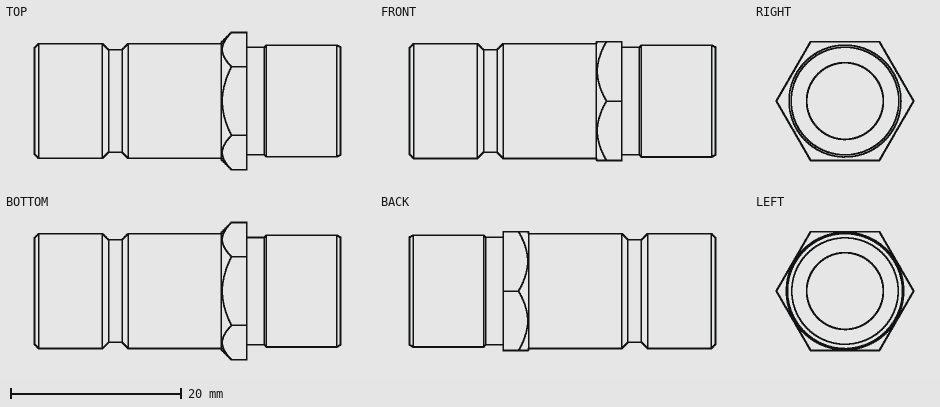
import cadquery as cq
import math

total_length = 36.0
groove_start = 8.0
groove_end = 11.0
hex_start = 22.0
hex_length = 3.0
relief_end = 27.3

plug_radius = 6.75
groove_radius = 6.05
relief_radius = 6.35
thread_radius = 6.6
bore_radius = 4.5
hex_sides = 6
hex_across_flats = 14.0
hex_face_radius = 6.9

plug_chamfer = 0.5
thread_chamfer_length = 0.45
thread_chamfer_depth = 0.25

groove_depth = plug_radius - groove_radius
relief_depth = thread_radius - relief_radius
hex_end = hex_start + hex_length
hex_corner_radius = hex_across_flats / 2 / math.cos(math.pi / hex_sides)
x_mid = total_length / 2


def revolve_about_x(points):
    """Revolve a closed (x, radius) outline about the X axis."""
    outline = cq.Workplane("XY").polyline(points).close()
    return outline.revolve(360, (0, 0, 0), (1, 0, 0))


def turned_body():
    """Plug with a sealing groove at one end, thread with a relief at the other."""
    return revolve_about_x([
        (0, 0),
        (0, plug_radius - plug_chamfer),
        (plug_chamfer, plug_radius),
        (groove_start, plug_radius),
        (groove_start + groove_depth, groove_radius),
        (groove_end - groove_depth, groove_radius),
        (groove_end, plug_radius),
        (hex_start, plug_radius),
        (hex_start, relief_radius),
        (relief_end - relief_depth, relief_radius),
        (relief_end, thread_radius),
        (total_length - thread_chamfer_length, thread_radius),
        (total_length, thread_radius - thread_chamfer_depth),
        (total_length, 0),
    ])


def hexagon():
    """Spanner hexagon, corners on +Y and -Y, with a 45 degree cone on the plug side."""
    prism = (
        cq.Workplane("YZ", origin=(hex_start, 0, 0))
        .polygon(hex_sides, 2 * hex_corner_radius)
        .extrude(hex_length)
    )
    cone_end_radius = hex_face_radius + hex_length
    cone = revolve_about_x([
        (hex_start, 0),
        (hex_start, hex_face_radius),
        (hex_end, cone_end_radius),
        (hex_end, 0),
    ])
    return prism.intersect(cone)


def bore():
    """Plain hole through the whole length."""
    return cq.Workplane("YZ").circle(bore_radius).extrude(total_length)


fitting = turned_body().union(hexagon()).cut(bore())
result = fitting.translate((-x_mid, 0, 0))